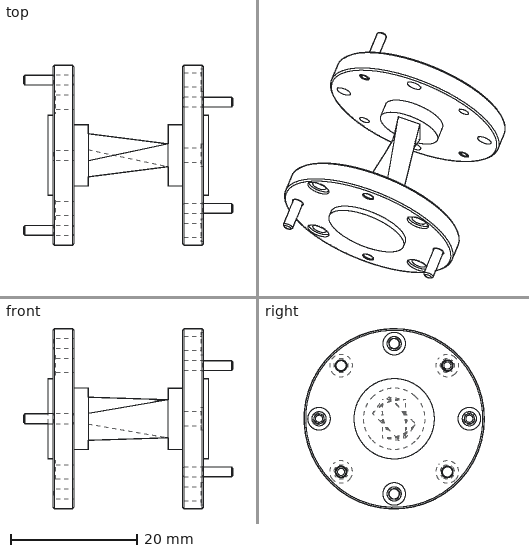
import cadquery as cq
import math

TOTAL_LENGTH = 33.15
TWIST_ANGLE = 45.0

HUB_FACE_X = 6.33
FLANGE_INNER_X = 8.6
FLANGE_OUTER_X = 11.95
BOSS_FACE_X = 12.73

FLANGE_RADIUS = 14.3
FLANGE_CHAMFER = 0.25
HUB_RADIUS = 4.87
BOSS_RADIUS = 6.35

BOLT_CIRCLE_RADIUS = 11.9
HOLES_PER_KIND = 4
HOLE_PITCH = 360 / HOLES_PER_KIND
SCREW_HOLE_RADIUS = 1.13
COUNTERBORE_RADIUS = 1.8
COUNTERBORE_DEPTH = 0.4
FIRST_SCREW_ANGLE = 0.0
FIRST_DOWEL_ANGLE = FIRST_SCREW_ANGLE + HOLE_PITCH / 2
DOWEL_HOLE_CHAMFER = 0.13

PIN_RADIUS = 0.8
PIN_CHAMFER = 0.23
PINS_PER_FLANGE = 2
PIN_PITCH = 360 / PINS_PER_FLANGE
PIN_TIP_X = TOTAL_LENGTH / 2

TUBE_WIDTH = 3.65
TUBE_HEIGHT = 6.05
APERTURE_WIDTH = 2.4
APERTURE_HEIGHT = 4.8


def cylinder(radius, start_x, end_x):
    """Cylinder on the X axis."""
    return cq.Workplane("YZ", origin=(start_x, 0, 0)).circle(radius).extrude(end_x - start_x)


def on_bolt_circle(shape, angle):
    """Move a shape from the X axis to the bolt circle at the given angle."""
    return shape.translate((0, BOLT_CIRCLE_RADIUS, 0)).rotate((0, 0, 0), (1, 0, 0), angle)


def to_left_end(shape):
    """Turn a shape of the +X end round to the -X end and give it the twist."""
    return shape.rotate((0, 0, 0), (0, 0, 1), 180).rotate((0, 0, 0), (1, 0, 0), TWIST_ANGLE)


def screw_hole_cutter():
    """Clearance hole with a shallow counterbore in the outer face."""
    hole = cylinder(SCREW_HOLE_RADIUS, FLANGE_INNER_X, FLANGE_OUTER_X)
    counterbore = cylinder(COUNTERBORE_RADIUS, FLANGE_OUTER_X - COUNTERBORE_DEPTH, FLANGE_OUTER_X)
    return hole.union(counterbore)


def dowel_hole_cutter():
    """Through hole with a chamfered mouth in the outer face."""
    hole = cylinder(PIN_RADIUS, FLANGE_INNER_X, FLANGE_OUTER_X)
    mouth = cq.Solid.makeCone(
        PIN_RADIUS + DOWEL_HOLE_CHAMFER,
        PIN_RADIUS,
        DOWEL_HOLE_CHAMFER,
        pnt=cq.Vector(FLANGE_OUTER_X, 0, 0),
        dir=cq.Vector(-1, 0, 0),
    )
    return hole.union(cq.Workplane(mouth))


def make_end():
    """Flange of the +X end with its hub, boss and holes."""
    disc = cylinder(FLANGE_RADIUS, FLANGE_INNER_X, FLANGE_OUTER_X).edges().chamfer(FLANGE_CHAMFER)
    hub = cylinder(HUB_RADIUS, HUB_FACE_X, FLANGE_INNER_X)
    boss = cylinder(BOSS_RADIUS, FLANGE_OUTER_X, BOSS_FACE_X)
    end = disc.union(hub).union(boss)
    for i in range(HOLES_PER_KIND):
        end = end.cut(on_bolt_circle(screw_hole_cutter(), FIRST_SCREW_ANGLE + i * HOLE_PITCH))
        end = end.cut(on_bolt_circle(dowel_hole_cutter(), FIRST_DOWEL_ANGLE + i * HOLE_PITCH))
    return end


def tube_corners(turn):
    """Corners (Y, Z) of the tube section, turned about the X axis."""
    cos_turn = math.cos(math.radians(turn))
    sin_turn = math.sin(math.radians(turn))
    corners = []
    for side_y, side_z in [(1, 1), (-1, 1), (-1, -1), (1, -1)]:
        y = side_y * TUBE_WIDTH / 2
        z = side_z * TUBE_HEIGHT / 2
        corners.append((y * cos_turn - z * sin_turn, y * sin_turn + z * cos_turn))
    return corners


def make_twisted_tube():
    """Tube between the hubs with straight corner edges and ruled sides."""
    return (
        cq.Workplane("YZ", origin=(-HUB_FACE_X, 0, 0))
        .polyline(tube_corners(TWIST_ANGLE))
        .close()
        .workplane(offset=2 * HUB_FACE_X)
        .polyline(tube_corners(0))
        .close()
        .loft(ruled=True)
    )


def make_aperture_block():
    """Block the size of the waveguide aperture, flush with the boss face of the +X end."""
    return (
        cq.Workplane("YZ", origin=(FLANGE_OUTER_X, 0, 0))
        .rect(APERTURE_WIDTH, APERTURE_HEIGHT)
        .extrude(BOSS_FACE_X - FLANGE_OUTER_X)
    )


def make_housing():
    """Both ends and the tube as one solid, with the closed aperture outlined on each boss face."""
    end = make_end()
    housing = end.union(to_left_end(end)).union(make_twisted_tube())
    aperture = make_aperture_block()
    return housing.union(aperture, clean=False).union(to_left_end(aperture), clean=False)


def make_pin():
    """Dowel pin of the +X end, still on the X axis, flush with the inner flange face."""
    return cylinder(PIN_RADIUS, FLANGE_INNER_X, PIN_TIP_X).edges().chamfer(PIN_CHAMFER)


housing = make_housing()

pins = []
for i in range(PINS_PER_FLANGE):
    pin = on_bolt_circle(make_pin(), FIRST_DOWEL_ANGLE + i * PIN_PITCH)
    pins.append(pin.val())
    pins.append(to_left_end(pin).val())

result = cq.Compound.makeCompound([housing.val(), *pins])